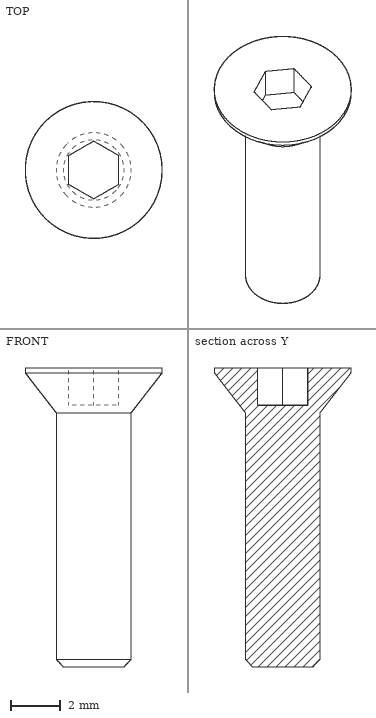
import cadquery as cq
import math

length = 12.0
head_diameter = 5.5
shank_diameter = 3.0
rim_height = 0.2
head_height = 1.81
tip_chamfer_height = 0.31
tip_diameter = 2.42
socket_width = 2.0
socket_depth = 1.5

head_radius = head_diameter / 2
shank_radius = shank_diameter / 2
tip_radius = tip_diameter / 2


def make_body():
    """Revolve the half profile of tip, shank, conical head and rim."""
    profile = (
        cq.Workplane("XZ")
        .lineTo(tip_radius, 0)
        .lineTo(shank_radius, tip_chamfer_height)
        .lineTo(shank_radius, length - head_height)
        .lineTo(head_radius, length - rim_height)
        .lineTo(head_radius, length)
        .lineTo(0, length)
        .close()
    )
    return profile.revolve(360, (0, 0, 0), (0, 1, 0))


def make_socket():
    """Hexagonal socket with two of its flats facing +X and -X."""
    across_corners = socket_width / math.cos(math.radians(30))
    return (
        cq.Workplane("XY", origin=(0, 0, length))
        .transformed(rotate=(0, 0, 30))
        .polygon(6, across_corners)
        .extrude(-socket_depth)
    )


result = make_body().cut(make_socket())